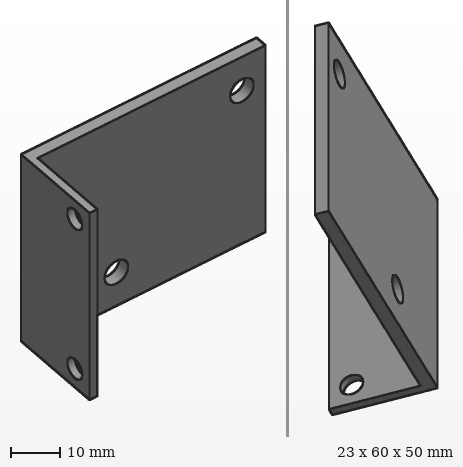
import cadquery as cq

width = 23.0
length = 60.0
height = 50.0

plate_thickness = 3.0
flange_thickness = 2.0

flange_hole_diameter = 5.0
flange_hole_inset = 5.0

plate_hole_diameter = 6.0
plate_hole_edge_height = 9.0
upper_hole_inset = 6.0
upper_hole_y = length - upper_hole_inset
lower_hole_y = 22.0


def flange_hole(z):
    """Cutter along Y through the flange."""
    return cq.Solid.makeCylinder(
        flange_hole_diameter / 2,
        flange_thickness,
        cq.Vector(width - flange_hole_inset, 0, z),
        cq.Vector(0, 1, 0),
    )


def plate_hole(y, z):
    """Cutter along X through the plate."""
    return cq.Solid.makeCylinder(
        plate_hole_diameter / 2,
        plate_thickness,
        cq.Vector(0, y, z),
        cq.Vector(1, 0, 0),
    )


plate = cq.Workplane("XY").box(plate_thickness, length, height, centered=False)
flange = cq.Workplane("XY").box(width, flange_thickness, height, centered=False)
result = plate.union(flange)

for hole_z in (flange_hole_inset, height - flange_hole_inset):
    result = result.cut(flange_hole(hole_z))

result = result.cut(plate_hole(upper_hole_y, height - plate_hole_edge_height))
result = result.cut(plate_hole(lower_hole_y, plate_hole_edge_height))